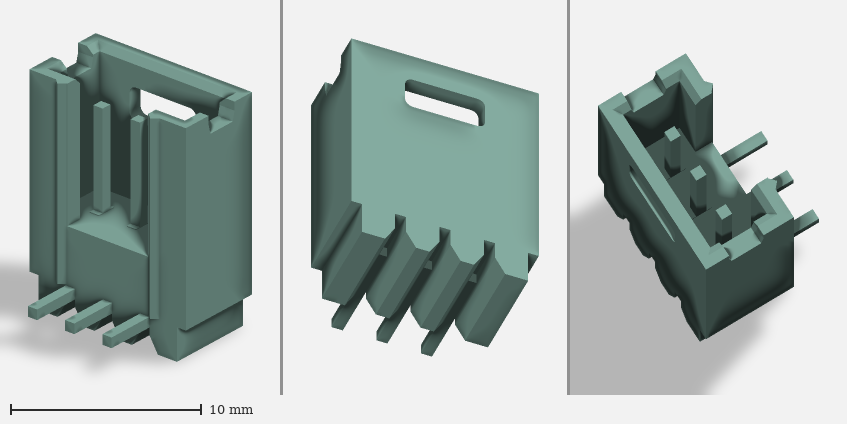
import cadquery as cq

total_depth = 8.55
body_width = 10.66
body_depth = 5.44
body_height = 13.94
base_width = 9.45
base_height = 2.04

floor_height = 5.55
side_wall = 1.02
back_wall = 0.9
front_wall = 1.03
opening_width = 5.49
lead_in_depth = 0.38
lead_in_x = 0.42
lead_in_y = 0.38

notch_width = 2.13
notch_depth = 1.12
notch_straight = 0.53
notch_taper = 0.15
notch_back_offset = 1.44

window_width = 4.55
window_height = 1.98
window_bottom = 10.25
window_radius = 0.45

rib_width = 0.72
rib_projection = 0.32
rib_x = 3.16
rib_bottom = 2.13

pin_pitch = 2.54
pin_size = 0.63
pin_top = 11.75
pin_y = 2.58
pad_depth = 2 * pin_size
pad_height = 0.05
slot_straight_bottom = 0.96
slot_mouth_width = 1.77

cavity_width = body_width - 2 * side_wall
cavity_depth = body_depth - front_wall - back_wall
cavity_y = front_wall + cavity_depth / 2
pin_positions = [-pin_pitch, 0, pin_pitch]


def block(width, y_front, y_back, z_bottom, z_top, x=0):
    """Box centred on x, spanning the given Y and Z limits."""
    size = (width, y_back - y_front, z_top - z_bottom)
    return cq.Workplane("XY").box(*size, centered=(True, False, False)).translate((x, y_front, z_bottom))


def make_housing():
    """Solid outer body on a narrower base."""
    base = block(base_width, 0, body_depth, 0, base_height)
    return base.union(block(body_width, 0, body_depth, base_height, body_height))


def make_cavity():
    """Rectangular pocket with a flared mouth and an open front."""
    pocket = block(cavity_width, front_wall, body_depth - back_wall, floor_height, body_height)
    lead_in = (
        cq.Workplane("XY", origin=(0, cavity_y, body_height - lead_in_depth))
        .rect(cavity_width, cavity_depth)
        .workplane(offset=lead_in_depth)
        .rect(cavity_width + 2 * lead_in_x, cavity_depth + 2 * lead_in_y)
        .loft(ruled=True)
    )
    opening = block(opening_width, 0, cavity_y, floor_height, body_height)
    return pocket.union(lead_in).union(opening)


def make_notch():
    """Notch with straight upper sides and tapered lower sides, cut across both side walls."""
    y_back = body_depth - notch_back_offset
    y_front = y_back - notch_width
    z_bottom = body_height - notch_depth
    z_taper = body_height - notch_straight
    outline = [
        (y_front, body_height),
        (y_front, z_taper),
        (y_front + notch_taper, z_bottom),
        (y_back - notch_taper, z_bottom),
        (y_back, z_taper),
        (y_back, body_height),
    ]
    return cq.Workplane("YZ").polyline(outline).close().extrude(body_width / 2, both=True)


def make_window():
    """Rounded window through the back wall."""
    window_top = window_bottom + window_height
    window = block(window_width, cavity_y, body_depth, window_bottom, window_top)
    return window.edges("|Y").fillet(window_radius)


def make_rib(x):
    """Vertical triangular rib on the front face."""
    outline = [(x - rib_width / 2, 0), (x, -rib_projection), (x + rib_width / 2, 0)]
    return (
        cq.Workplane("XY", origin=(0, 0, rib_bottom))
        .polyline(outline)
        .close()
        .extrude(body_height - rib_bottom)
    )


def make_slot(x):
    """Base slot as wide as a pin, flaring towards the underside."""
    outline = [
        (x - slot_mouth_width / 2, 0),
        (x - pin_size / 2, slot_straight_bottom),
        (x - pin_size / 2, base_height),
        (x + pin_size / 2, base_height),
        (x + pin_size / 2, slot_straight_bottom),
        (x + slot_mouth_width / 2, 0),
    ]
    return cq.Workplane("XZ").polyline(outline).close().extrude(-body_depth)


def make_pin(x):
    """L-shaped pin: an upright contact, its pad on the cavity floor and a forward leg."""
    y_front = pin_y - pin_size / 2
    y_back = pin_y + pin_size / 2
    leg_bottom = base_height - pin_size
    leg = block(pin_size, body_depth - total_depth, y_back, leg_bottom, base_height, x)
    contact = block(pin_size, y_front, y_back, leg_bottom, pin_top, x)
    pad_top = floor_height + pad_height
    pad = block(pin_size, pin_y - pad_depth / 2, pin_y + pad_depth / 2, floor_height, pad_top, x)
    return leg.union(contact).union(pad)


result = make_housing().cut(make_cavity()).cut(make_notch()).cut(make_window())
for side in (-1, 1):
    result = result.union(make_rib(side * rib_x))
for x in pin_positions:
    result = result.cut(make_slot(x)).union(make_pin(x))